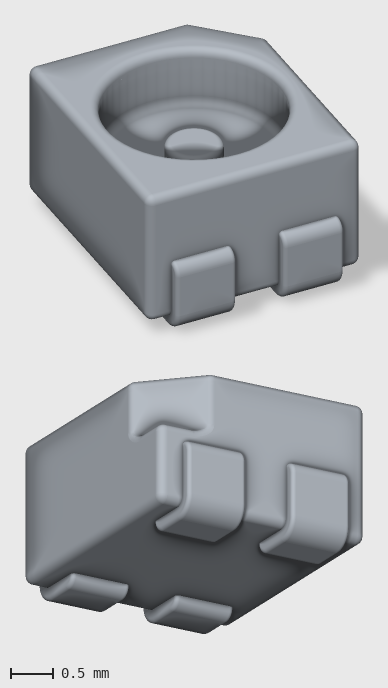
import cadquery as cq


overall_length = 3.5
body_width = 2.8
body_height = 1.75
edge_radius = 0.1
cap_thickness = 0.15

lead_thickness = 0.15
lead_width = 0.785
lead_pitch = 1.415
lead_height = 0.95
foot_length = 0.8
lead_edge_radius = 0.05

cup_diameter = 2.25
cup_depth = 0.75

chip_diameter = 0.7
chip_height = 0.2
chip_edge_radius = 0.075

notch_leg = 0.7
notch_depth = 0.752

body_length = overall_length - 2 * lead_thickness
body_bottom = lead_thickness
body_top = body_bottom + body_height
split_level = body_top - cap_thickness
cup_floor = body_top - cup_depth
notch_floor = body_top - notch_depth
bend_radius = edge_radius + lead_thickness


def make_notched_block():
    """Body block with the -X, +Y corner cut down to the notch floor."""
    block = cq.Workplane("XY").box(body_length, body_width, body_height, centered=(True, True, False))
    block = block.translate((0, 0, body_bottom))
    corner_x = -body_length / 2
    corner_y = body_width / 2
    notch = (
        cq.Workplane("XY", origin=(0, 0, notch_floor))
        .moveTo(corner_x, corner_y)
        .lineTo(corner_x + notch_leg, corner_y)
        .lineTo(corner_x, corner_y - notch_leg)
        .close()
        .extrude(notch_depth)
    )
    return block.cut(notch)


def round_block(block):
    """Round the inside edge of the notch first, then all the outer edges."""
    inside_edge = cq.selectors.NearestToPointSelector(
        (-(body_length - notch_leg) / 2, (body_width - notch_leg) / 2, notch_floor)
    )
    block = block.edges(inside_edge).fillet(edge_radius)

    seams = block.faces("%CYLINDER").edges("%LINE")
    outer_edges = [
        edge for edge in block.edges().vals()
        if not any(edge.isSame(seam) for seam in seams.vals())
    ]
    return block.newObject(outer_edges).fillet(edge_radius)


def make_cup():
    """Reflector cup void, rounded at the floor and flared out at the rim."""
    cup_radius = cup_diameter / 2
    profile = (
        cq.Workplane("XZ")
        .moveTo(0, cup_floor)
        .lineTo(cup_radius - edge_radius, cup_floor)
        .radiusArc((cup_radius, cup_floor + edge_radius), -edge_radius)
        .lineTo(cup_radius, body_top - edge_radius)
        .radiusArc((cup_radius + edge_radius, body_top), edge_radius)
        .lineTo(0, body_top)
        .close()
    )
    return profile.revolve(360, (0, 0, 0), (0, 1, 0))


def make_layer(bottom, top):
    """Slab wide enough to slice the body between two levels."""
    return (
        cq.Workplane("XY", origin=(0, 0, bottom))
        .rect(overall_length, overall_length)
        .extrude(top - bottom)
    )


def make_lead():
    """Lead wrapped around the -X bottom edge of the body, centred on Y = 0."""
    outer_x = -overall_length / 2
    lead = cq.Workplane("XY").box(foot_length, lead_width, lead_height, centered=(False, True, False))
    lead = lead.translate((outer_x, 0, 0))
    lead = lead.edges("|Y and <X and <Z").fillet(bend_radius)
    lead = lead.edges("|Y and >Z").edges("<X").fillet(lead_thickness)
    lead = lead.edges("|Y and >X").edges("<Z").fillet(lead_thickness)
    lead = lead.faces("<Y or >Y").edges().fillet(lead_edge_radius)

    body_space = cq.Workplane("XY", origin=(0, 0, body_bottom)).box(
        body_length, body_width, body_height, centered=(True, True, False)
    )
    body_space = body_space.edges("|Y and <X and <Z").fillet(edge_radius)
    return lead.cut(body_space)


def make_chip():
    """Round chip standing in the middle of the cup floor."""
    chip = cq.Workplane("XY", origin=(0, 0, cup_floor)).circle(chip_diameter / 2).extrude(chip_height)
    return chip.faces(">Z").edges().fillet(chip_edge_radius)


package = round_block(make_notched_block()).cut(make_cup())
housing = package.intersect(make_layer(body_bottom, split_level))
cap = package.intersect(make_layer(split_level, body_top))

chip = make_chip()

leads = []
for lead_y in (-lead_pitch / 2, lead_pitch / 2):
    left_lead = make_lead().translate((0, lead_y, 0))
    leads.append(left_lead.val())
    leads.append(left_lead.mirror("YZ").val())

result = cq.Compound.makeCompound([housing.val(), cap.val(), chip.val(), *leads])